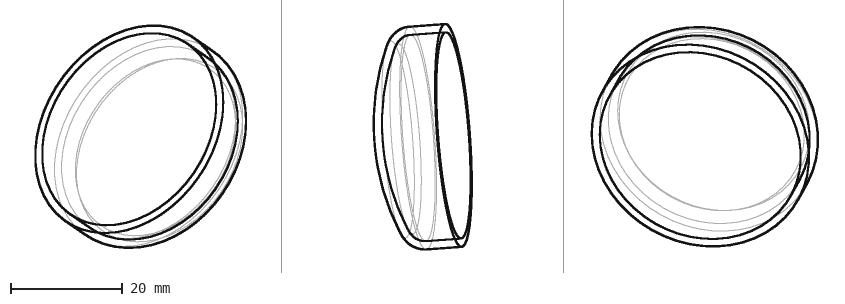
import cadquery as cq
import math

outer_radius = 20.0
bore_diameter = 37.0
wall = outer_radius - bore_diameter / 2
height = 13.9
rim_length = 6.4
corner_radius = 4.0

corner_center_r = outer_radius - corner_radius
drop = height - rim_length
dome_radius = (drop**2 + corner_center_r**2 - corner_radius**2) / (2 * (drop - corner_radius))
tangent_angle = math.asin(corner_center_r / (dome_radius - corner_radius))


def dome_solid(offset):
    """Solid dome bounded by the outer surface moved inward by offset."""
    side_r = outer_radius - offset
    apex_x = height - offset
    corner_r = corner_radius - offset
    dome_r = dome_radius - offset
    dome_center_x = height - dome_radius

    def corner_point(angle):
        return (rim_length + corner_r * math.cos(angle), corner_center_r + corner_r * math.sin(angle))

    def dome_point(angle):
        return (dome_center_x + dome_r * math.cos(angle), dome_r * math.sin(angle))

    corner_middle_angle = (math.pi / 2 + tangent_angle) / 2
    return (
        cq.Workplane("XY")
        .moveTo(0, 0)
        .lineTo(0, side_r)
        .lineTo(rim_length, side_r)
        .threePointArc(corner_point(corner_middle_angle), corner_point(tangent_angle))
        .threePointArc(dome_point(tangent_angle / 2), (apex_x, 0))
        .close()
        .revolve(360, (0, 0, 0), (1, 0, 0))
    )


result = dome_solid(0).cut(dome_solid(wall))